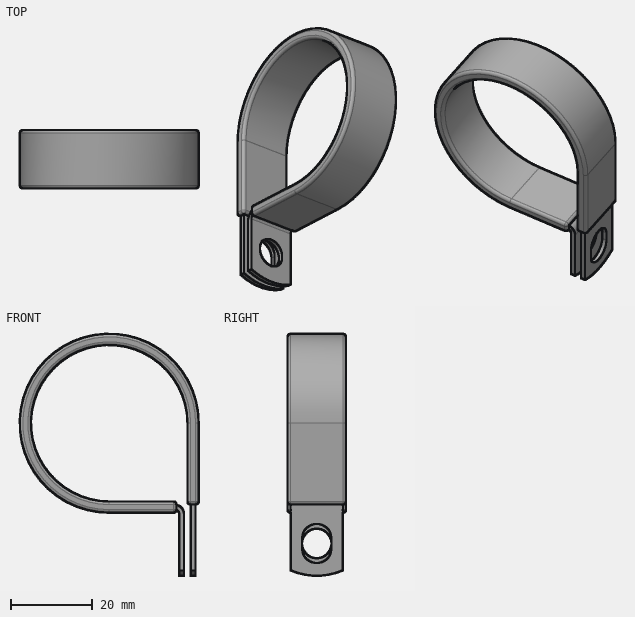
import cadquery as cq
import math


loop_inner_radius = 19.05
strap_thickness = 1.219
strap_width = 12.7
cushion_thickness = 0.79375
tab_gap = 1.5875
tab_tip_drop = 37.234
tab_tip_radius = 15.875
bend_inner_radius = 1.1
horizontal_leg_end_x = 16.42
hole_diameter = 7.14
slot_elongation = 2.4
hole_drop = 29.32

strap_inner_radius = loop_inner_radius + cushion_thickness
strap_outer_radius = strap_inner_radius + strap_thickness
loop_outer_radius = strap_outer_radius + cushion_thickness
cushion_width = strap_width + 2 * cushion_thickness

bend_outer_radius = bend_inner_radius + strap_thickness
left_tab_outer_x = strap_inner_radius - tab_gap
left_tab_inner_x = left_tab_outer_x - strap_thickness
bend_start_x = left_tab_outer_x - bend_outer_radius
bend_center_z = -strap_inner_radius - bend_outer_radius

vertical_leg_end_z = -strap_inner_radius


def loop_midpoint(radius):
    """Middle of the 270 degree arc that runs from +X over the top to -Z."""
    offset = radius * math.cos(math.radians(45))
    return (-offset, offset)


def bend_midpoint(radius):
    """Middle of the quarter arc that turns the horizontal leg down into the left tab."""
    offset = radius * math.cos(math.radians(45))
    return (bend_start_x + offset, bend_center_z + offset)


def extrude_centered(outline, width):
    """Extrude an XZ outline symmetrically about the XZ plane."""
    return outline.extrude(width / 2, both=True)


def make_cushion():
    """Loop with two straight legs, rounded along every edge down to the strap section."""
    outline = (
        cq.Workplane("XZ")
        .moveTo(loop_outer_radius, vertical_leg_end_z)
        .lineTo(loop_outer_radius, 0)
        .threePointArc(loop_midpoint(loop_outer_radius), (0, -loop_outer_radius))
        .lineTo(horizontal_leg_end_x, -loop_outer_radius)
        .lineTo(horizontal_leg_end_x, -loop_inner_radius)
        .lineTo(0, -loop_inner_radius)
        .threePointArc(loop_midpoint(loop_inner_radius), (loop_inner_radius, 0))
        .lineTo(loop_inner_radius, vertical_leg_end_z)
        .close()
    )
    body = extrude_centered(outline, cushion_width)
    strap_mid_radius = (strap_inner_radius + strap_outer_radius) / 2
    vertical_leg_end = (strap_mid_radius, 0, vertical_leg_end_z)
    horizontal_leg_end = (horizontal_leg_end_x, 0, -strap_mid_radius)
    side_edges = body.faces("<Y or >Y").edges()
    leg_end_edges = body.faces(cq.selectors.NearestToPointSelector(vertical_leg_end)).edges("|Y")
    leg_end_edges = leg_end_edges.add(
        body.faces(cq.selectors.NearestToPointSelector(horizontal_leg_end)).edges("|Y")
    )
    return body.newObject(side_edges.vals() + leg_end_edges.vals()).fillet(cushion_thickness)


def make_strap():
    """Bent metal strip: right tab, loop, horizontal leg and left tab."""
    outline = (
        cq.Workplane("XZ")
        .moveTo(strap_outer_radius, -tab_tip_drop)
        .lineTo(strap_outer_radius, 0)
        .threePointArc(loop_midpoint(strap_outer_radius), (0, -strap_outer_radius))
        .lineTo(bend_start_x, -strap_outer_radius)
        .threePointArc(bend_midpoint(bend_inner_radius), (left_tab_inner_x, bend_center_z))
        .lineTo(left_tab_inner_x, -tab_tip_drop)
        .lineTo(left_tab_outer_x, -tab_tip_drop)
        .lineTo(left_tab_outer_x, bend_center_z)
        .threePointArc(bend_midpoint(bend_outer_radius), (bend_start_x, -strap_inner_radius))
        .lineTo(0, -strap_inner_radius)
        .threePointArc(loop_midpoint(strap_inner_radius), (strap_inner_radius, 0))
        .lineTo(strap_inner_radius, -tab_tip_drop)
        .close()
    )
    return extrude_centered(outline, strap_width)


def make_tab_silhouette():
    """Keeps everything above the rounded tab tips, as seen along X."""
    half_width = strap_width / 2
    tip_rise = tab_tip_radius - math.sqrt(tab_tip_radius**2 - half_width**2)
    corner_z = tip_rise - tab_tip_drop
    outline = (
        cq.Workplane("YZ")
        .moveTo(half_width, loop_outer_radius)
        .lineTo(half_width, corner_z)
        .threePointArc((0, -tab_tip_drop), (-half_width, corner_z))
        .lineTo(-half_width, loop_outer_radius)
        .close()
    )
    return outline.extrude(loop_outer_radius, both=True)


def make_hole_cutters():
    """Round hole through the left tab and a vertical slot through the right tab."""
    tab_gap_mid_x = left_tab_outer_x + tab_gap / 2
    round_hole = (
        cq.Workplane("YZ", origin=(horizontal_leg_end_x, 0, -hole_drop))
        .circle(hole_diameter / 2)
        .extrude(tab_gap_mid_x - horizontal_leg_end_x)
    )
    slot = (
        cq.Workplane("YZ", origin=(tab_gap_mid_x, 0, -hole_drop))
        .slot2D(hole_diameter + slot_elongation, hole_diameter, angle=90)
        .extrude(loop_outer_radius - tab_gap_mid_x)
    )
    return round_hole.union(slot)


strap = make_strap().intersect(make_tab_silhouette()).cut(make_hole_cutters())
result = make_cushion().union(strap)